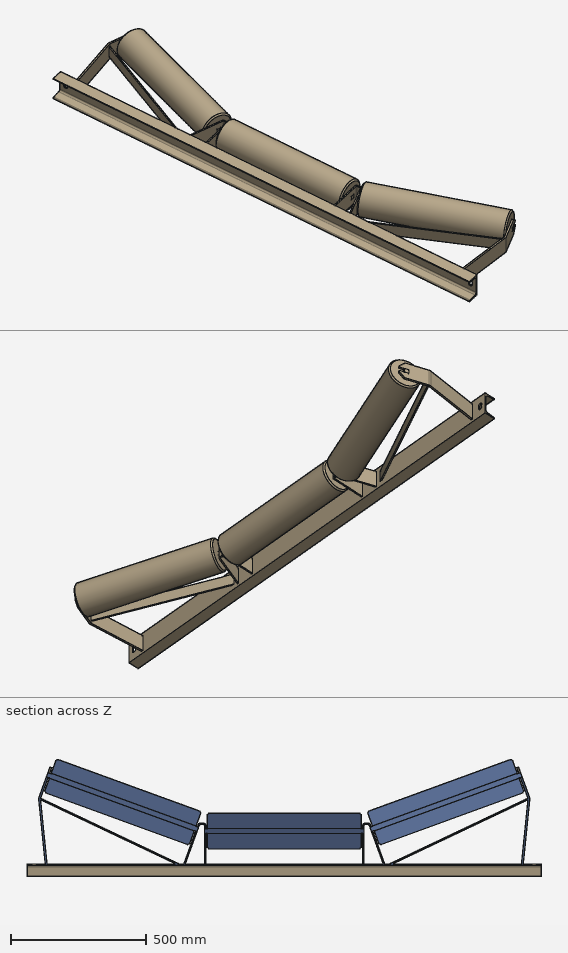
import cadquery as cq
import math

CHANNEL_LENGTH = 1900.0
CHANNEL_HEIGHT = 100.0
CHANNEL_DEPTH = 48.0
WEB_THICKNESS = 5.0
FLANGE_TIP_THICKNESS = 5.0
FLANGE_ROOT_THICKNESS = 10.0
FLANGE_ROOT_RADIUS = 8.0
FLANGE_TIP_RADIUS = 4.0

MOUNT_SLOT_LENGTH = 28.0
MOUNT_SLOT_WIDTH = 17.0
MOUNT_SLOT_INSET = 27.0

ROLLER_DIAMETER = 133.0
ROLLER_LENGTH = 570.0
ROLLER_CHAMFER = 5.0
SHAFT_SIZE = 17.0
SUPPORT_SPAN = 580.0
CENTRE_SHAFT_DROP = 27.0
SIDE_ROLLER_X = -597.0
SIDE_ROLLER_Y = 228.0
TROUGH_ANGLE = 20.0

BRACKET_WIDTH = 75.0
INNER_THICKNESS = 5.0
INNER_TOP_Y = 150.0
INNER_FOLD_RADIUS = 2.0
OUTER_THICKNESS = 8.0
OUTER_RISE = 30.0
OUTER_CORNER = 23.0
OUTER_FOLD_Y = 241.0
OUTER_FOLD_RADIUS = 11.0
OUTER_FOOT_X = -880.0
BRACE_WIDTH = 50.0
BRACE_THICKNESS = 5.0
BRACE_FOOT_X = -395.0
BRACE_TOP_Y = 241.0

INNER_TOP_MID_Y = INNER_TOP_Y - INNER_THICKNESS / 2
CENTRE_ROLLER_Y = INNER_TOP_MID_Y - CENTRE_SHAFT_DROP
FOOT_EMBED = WEB_THICKNESS / 2
COS = math.cos(math.radians(TROUGH_ANGLE))
SIN = math.sin(math.radians(TROUGH_ANGLE))


def side_point(outward, upward):
    """Point in the XY plane given along and across the axis of the left roller."""
    return (SIDE_ROLLER_X - outward * COS + upward * SIN, SIDE_ROLLER_Y + outward * SIN + upward * COS)


def x_on_side_plane(outward, y):
    """X at height y of the plane square to the left roller axis, at the given distance outward."""
    upward = (y - SIDE_ROLLER_Y - outward * SIN) / COS
    return side_point(outward, upward)[0]


def x_on_line(start, end, y):
    """X at height y of the line through two points."""
    return start[0] + (end[0] - start[0]) * (y - start[1]) / (end[1] - start[1])


def mitred_side(path, offset):
    """Path shifted sideways by offset, with its corners mitred."""
    headings = [math.atan2(b[1] - a[1], b[0] - a[0]) for a, b in zip(path, path[1:])]
    shifted = []
    for i, (x, y) in enumerate(path):
        before = headings[max(i - 1, 0)]
        after = headings[min(i, len(headings) - 1)]
        middle = (before + after) / 2
        reach = offset / math.cos((after - before) / 2)
        shifted.append((x - reach * math.sin(middle), y + reach * math.cos(middle)))
    return shifted


def strip(path, thickness, width):
    """Bent flat bar whose mid-plane follows the path in XY."""
    outline = mitred_side(path, thickness / 2) + mitred_side(path, -thickness / 2)[::-1]
    return cq.Workplane("XY", origin=(0, 0, -width / 2)).polyline(outline).close().extrude(width)


def bend_radii(thickness, inside_radius):
    """Sideways offset and radius of the outer and the inner surface of a right-hand bend."""
    return ((thickness / 2, inside_radius + thickness), (-thickness / 2, inside_radius))


def mirrored(shape):
    """Copy of a left-hand shape on the right side."""
    return shape.mirror("YZ")


def to_left_side(shape):
    """Move a shape from the origin, lying along X, onto the axis of the left roller."""
    return shape.rotate((0, 0, 0), (0, 0, 1), -TROUGH_ANGLE).translate((SIDE_ROLLER_X, SIDE_ROLLER_Y, 0))


def make_channel():
    """Channel beam with tapered flanges, open toward -Y, with a mounting slot near each end."""
    top = CHANNEL_HEIGHT / 2
    root = top - FLANGE_ROOT_THICKNESS
    tip = top - FLANGE_TIP_THICKNESS
    outline = [
        (0, -top), (-CHANNEL_DEPTH, -top), (-CHANNEL_DEPTH, -tip), (-WEB_THICKNESS, -root),
        (-WEB_THICKNESS, root), (-CHANNEL_DEPTH, tip), (-CHANNEL_DEPTH, top), (0, top),
    ]
    channel = cq.Workplane("YZ").polyline(outline).close().extrude(CHANNEL_LENGTH)
    channel = channel.translate((-CHANNEL_LENGTH / 2, 0, 0))
    for side in (-1, 1):
        root_corner = (0, -WEB_THICKNESS, side * root)
        tip_corner = (0, -CHANNEL_DEPTH, side * tip)
        channel = channel.edges(cq.NearestToPointSelector(root_corner)).fillet(FLANGE_ROOT_RADIUS)
        channel = channel.edges(cq.NearestToPointSelector(tip_corner)).fillet(FLANGE_TIP_RADIUS)
    slot_x = CHANNEL_LENGTH / 2 - MOUNT_SLOT_INSET
    slots = (
        cq.Workplane("XZ")
        .pushPoints([(-slot_x, 0), (slot_x, 0)])
        .slot2D(MOUNT_SLOT_LENGTH, MOUNT_SLOT_WIDTH, 90)
        .extrude(WEB_THICKNESS)
    )
    return channel.cut(slots)


def make_inner_bracket():
    """Inverted U between the left and centre rollers, each leg square to its roller."""
    leg_offset = (SUPPORT_SPAN + INNER_THICKNESS) / 2
    path = [
        (x_on_side_plane(-leg_offset, -FOOT_EMBED), -FOOT_EMBED),
        (x_on_side_plane(-leg_offset, INNER_TOP_MID_Y), INNER_TOP_MID_Y),
        (-leg_offset, INNER_TOP_MID_Y),
        (-leg_offset, -FOOT_EMBED),
    ]
    bracket = strip(path, INNER_THICKNESS, BRACKET_WIDTH)
    for offset, radius in bend_radii(INNER_THICKNESS, INNER_FOLD_RADIUS):
        for corner in mitred_side(path, offset)[1:3]:
            bracket = bracket.edges(cq.NearestToPointSelector((*corner, 0))).fillet(radius)
    return bracket


def outer_bracket_path():
    """Mid-plane of the left outer bracket: foot, fold and top end."""
    plate = (SUPPORT_SPAN + OUTER_THICKNESS) / 2
    fold = (x_on_side_plane(plate, OUTER_FOLD_Y), OUTER_FOLD_Y)
    foot = (x_on_line((OUTER_FOOT_X, 0), fold, -FOOT_EMBED), -FOOT_EMBED)
    return [foot, fold, side_point(plate, OUTER_RISE)]


def make_outer_bracket():
    """Bent bar at the outer end of the left roller, with an open slot for the shaft."""
    path = outer_bracket_path()
    bracket = strip(path, OUTER_THICKNESS, BRACKET_WIDTH)
    for offset, radius in bend_radii(OUTER_THICKNESS, OUTER_FOLD_RADIUS):
        corner = mitred_side(path, offset)[1]
        bracket = bracket.edges(cq.NearestToPointSelector((*corner, 0))).fillet(radius)
    for side in (-1, 1):
        corner = (*path[-1], side * BRACKET_WIDTH / 2)
        bracket = bracket.edges(cq.NearestToPointSelector(corner)).chamfer(OUTER_CORNER)
    slot_height = SHAFT_SIZE + OUTER_RISE
    slot_centre = (-(SUPPORT_SPAN + OUTER_THICKNESS) / 2, OUTER_RISE / 2, 0)
    slot = cq.Workplane("XY").box(OUTER_THICKNESS, slot_height, SHAFT_SIZE).translate(slot_centre)
    return bracket.cut(to_left_side(slot))


def make_brace():
    """Sloping flat bar from the web up to the fold of the left outer bracket."""
    foot = (BRACE_FOOT_X, 0)
    bracket_foot, fold, _ = outer_bracket_path()
    top = (x_on_line(bracket_foot, fold, BRACE_TOP_Y), BRACE_TOP_Y)
    start = (x_on_line(foot, top, -FOOT_EMBED), -FOOT_EMBED)
    return strip([start, top], BRACE_THICKNESS, BRACE_WIDTH)


def make_shaft(end_thicknesses):
    """Square bar along X, its ends flush with the outer faces of its two supports."""
    left, right = end_thicknesses
    length = SUPPORT_SPAN + left + right
    return cq.Workplane("XY").box(length, SHAFT_SIZE, SHAFT_SIZE).translate(((right - left) / 2, 0, 0))


def make_roller():
    """Chamfered cylinder along X with a bore that fits the shaft."""
    left_end = cq.Workplane("YZ", origin=(-ROLLER_LENGTH / 2, 0, 0))
    roller = left_end.circle(ROLLER_DIAMETER / 2).extrude(ROLLER_LENGTH)
    roller = roller.faces("<X or >X").edges().chamfer(ROLLER_CHAMFER)
    bore = cq.Workplane("XY").box(ROLLER_LENGTH, SHAFT_SIZE, SHAFT_SIZE)
    return roller.cut(bore)


def make_frame(shafts):
    """Channel with all brackets and braces welded on, and seats for the shafts."""
    frame = make_channel()
    for part in (make_inner_bracket(), make_outer_bracket(), make_brace()):
        frame = frame.union(part).union(mirrored(part))
    for shaft in shafts:
        frame = frame.cut(shaft)
    return frame


centre_shaft = make_shaft((INNER_THICKNESS, INNER_THICKNESS)).translate((0, CENTRE_ROLLER_Y, 0))
left_shaft = to_left_side(make_shaft((OUTER_THICKNESS, INNER_THICKNESS)))
shafts = [left_shaft, centre_shaft, mirrored(left_shaft)]

left_roller = to_left_side(make_roller())
centre_roller = make_roller().translate((0, CENTRE_ROLLER_Y, 0))
rollers = [left_roller, centre_roller, mirrored(left_roller)]

frame = make_frame(shafts)

result = cq.Compound.makeCompound([body.val() for body in [frame, *rollers, *shafts]])